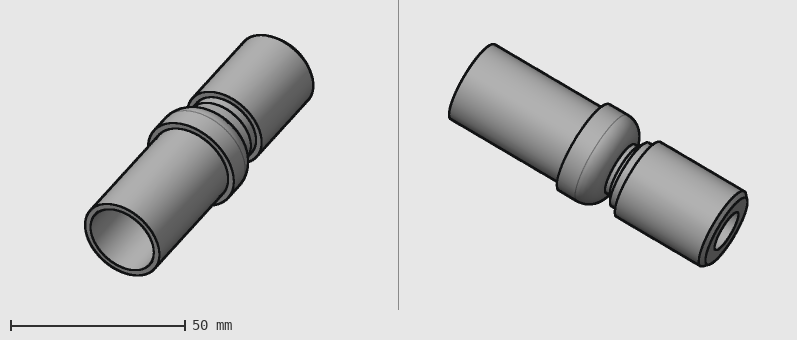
import cadquery as cq

total_length = 87.0
tube_length = 38.2
collar_length = 6.3
dome_length = 6.2
neck_length = 1.65
cone_length = 1.65
shoulder_length = 2.9
end_chamfer = 1.4

body_diameter = 25.0
collar_diameter = 28.8
neck_diameter = 16.3
shoulder_diameter = 21.2
tube_bore_diameter = 21.2
through_hole_diameter = 12.5

body_radius = body_diameter / 2
collar_radius = collar_diameter / 2
neck_radius = neck_diameter / 2
shoulder_radius = shoulder_diameter / 2
bore_radius = tube_bore_diameter / 2
hole_radius = through_hole_diameter / 2

tube_start = -total_length / 2
plug_end = total_length / 2
collar_start = tube_start + tube_length
dome_start = collar_start + collar_length
dome_end = dome_start + dome_length
cone_start = dome_end + neck_length
shoulder_start = cone_start + cone_length
plug_start = shoulder_start + shoulder_length
bore_end = collar_start
hole_start = dome_start

dome_top_radius = collar_radius - dome_length
diagonal = dome_length * 0.5**0.5
dome_middle = (dome_top_radius + diagonal, dome_start + diagonal)

section = (
    cq.Workplane("XY")
    .moveTo(bore_radius, tube_start)
    .lineTo(body_radius, tube_start)
    .lineTo(body_radius, collar_start)
    .lineTo(collar_radius, collar_start)
    .lineTo(collar_radius, dome_start)
    .threePointArc(dome_middle, (dome_top_radius, dome_end))
    .lineTo(neck_radius, dome_end)
    .lineTo(neck_radius, cone_start)
    .lineTo(shoulder_radius, shoulder_start)
    .lineTo(shoulder_radius, plug_start)
    .lineTo(body_radius, plug_start)
    .lineTo(body_radius, plug_end - end_chamfer)
    .lineTo(body_radius - end_chamfer, plug_end)
    .lineTo(hole_radius, plug_end)
    .lineTo(hole_radius, hole_start)
    .lineTo(bore_radius, bore_end)
    .close()
)

result = section.revolve(360, (0, 0, 0), (0, 1, 0))